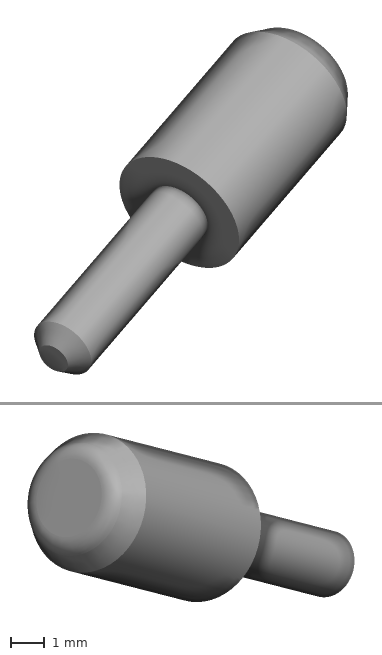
import cadquery as cq
import math

total_length = 14.0
head_length = total_length / 2
head_diameter = 4.2
nose_length = 1.0
nose_angle = 30.0
nose_fillet = 0.6

pin_length = total_length - head_length
pin_diameter = 2.0
tip_chamfer = pin_diameter / 4


def make_head():
    """Cylinder with a conical nose that is rounded into its flat end."""
    radius = head_diameter / 2
    nose_end_radius = radius - nose_length * math.tan(math.radians(nose_angle))
    half_section = (
        cq.Workplane("XY")
        .lineTo(radius, 0)
        .lineTo(radius, head_length - nose_length)
        .lineTo(nose_end_radius, head_length)
        .lineTo(0, head_length)
        .close()
    )
    head = half_section.revolve(360, (0, 0, 0), (0, 1, 0))
    return head.faces(">Y").edges().fillet(nose_fillet)


def make_pin():
    """Straight pin seated against the flat face of the head, with a chamfered tip."""
    pin = cq.Workplane("XZ").circle(pin_diameter / 2).extrude(pin_length)
    return pin.faces("<Y").edges().chamfer(tip_chamfer)


head = make_head()
pin = make_pin()

result = cq.Compound.makeCompound([head.solids().val(), pin.solids().val()])